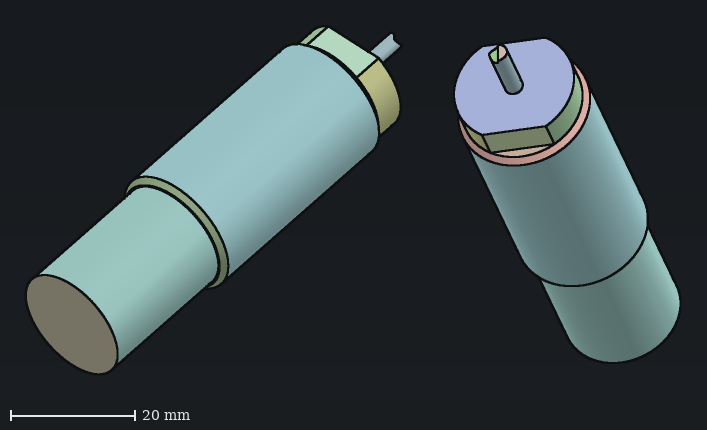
import cadquery as cq
import math

total_length = 80.4

nose_diameter = 19.5
nose_length = 25.0

body_diameter = 22.0
body_end = 64.5
collar_diameter = 20.0
collar_end = 70.0
across_flats = 17.0
body_chamfer = (body_diameter - collar_diameter) / 2

cable_diameter = 3.0
break_hump_diameter = 4.4
break_dip_depth = 0.7


def cylinder_along_y(diameter, start, end):
    """Solid cylinder on the Y axis between two positions."""
    plane = cq.Workplane("XZ", origin=(0, start, 0))
    return plane.circle(diameter / 2).extrude(start - end)


def make_body():
    """Largest cylinder, chamfered at both ends."""
    body = cylinder_along_y(body_diameter, nose_length, body_end)
    return body.edges("%CIRCLE").chamfer(body_chamfer)


def make_collar():
    """Rear collar with two wrench flats, facing +Z and -Z."""
    collar = cylinder_along_y(collar_diameter, body_end, collar_end)
    length = collar_end - body_end
    flats = cq.Workplane("XY").box(collar_diameter, length, across_flats)
    return collar.intersect(flats.translate((0, body_end + length / 2, 0)))


def make_cable():
    """Cable stub ending in an S-shaped break: a hump on -X, a dip on +X."""
    radius = cable_diameter / 2
    hump_radius = break_hump_diameter / 2
    half_chord = radius / 2
    hump_height = hump_radius - math.sqrt(hump_radius**2 - half_chord**2)
    break_level = total_length - hump_height
    outline = (
        cq.Workplane("XY")
        .moveTo(-radius, collar_end)
        .lineTo(-radius, break_level)
        .threePointArc((-half_chord, total_length), (0, break_level))
        .threePointArc((half_chord, break_level - break_dip_depth), (radius, break_level))
        .lineTo(radius, collar_end)
        .close()
        .extrude(radius, both=True)
    )
    return cylinder_along_y(cable_diameter, collar_end, total_length).intersect(outline)


nose = cylinder_along_y(nose_diameter, 0, nose_length)
result = nose.union(make_body()).union(make_collar()).union(make_cable())